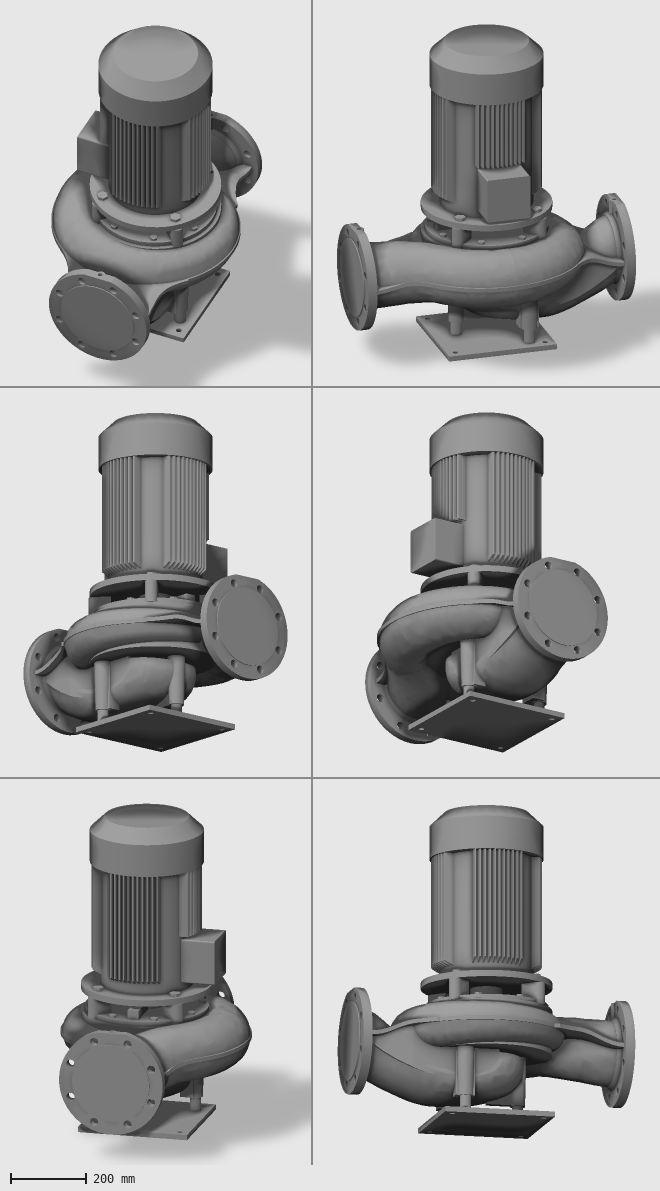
import cadquery as cq
import math


base_thickness = 14
foot_bottom = 53
port_z = 210
volute_z = 244
cover_bottom = 309
cover_top = 322
motor_bottom = 368
total_height = 845

base_size = 300
base_hole_pitch = 250
base_hole_diameter = 15
rod_radius = 15
foot_places = [(-111, -85), (111, -85), (0, 85)]

port_face_y = 375
raised_face_height = 3
raised_face_radius = 106
flange_thickness = 25
flange_radius = 142.5
flange_flat_height = 137
flange_bolt_circle_radius = 120
flange_bolt_hole_diameter = 22
flange_bolt_count = 8
flange_back_y = port_face_y - raised_face_height - flange_thickness
pipe_radius = 90
neck_collar_length = 12
neck_collar_flare = 8
gauge_boss_radius = 12
gauge_boss_length = 70
gauge_hole_radius = 6
gauge_hole_depth = 12
gauge_inset = 20

tongue_angle = 90
volute_sweep = 316
growing_sweep = 270
growing_sections = 7
tongue_tube_radius = 41
full_tube_radius = 77
tongue_centre_radius = 163.5
outlet_centre_radius = 210.5
hub_radius = 175
hub_bottom = 185
rim_projection = 3.3
rim_points = 9

rim_thickness = 11
rim_drop_start = 215
neck_half_width = 124

elbow_half_width = 106
elbow_wall_half_width = 105
elbow_wall_port_half_width = 92
elbow_wall_taper_y = -226

foot_bottom_radius = 20
foot_top_radius = 24
foot_top = 205
side_web_end = 76
side_web_width = 52
rear_web_width = 20
foot_web_bottom = 55
foot_web_top = 175

cover_radius = 165
shaft_housing_radius = 43.5
post_count = 4
post_width = 33
post_inner_radius = 118
post_end_radius = 162
cover_screw_circle_radius = 149
cover_screw_count = 8
cover_screw_across_flats = 18
cover_screw_height = 7
vent_block_width = 30
vent_block_y = (42, 144)
vent_block_height = 24

motor_flange_radius = 175
motor_flange_thickness = 17
motor_radius = 125
motor_bolt_circle_radius = 150
motor_bolt_across_flats = 26
motor_bolt_height = 8
cowl_bottom = 720
cowl_radius = 152
cowl_top_radius = 113
cowl_cone_height = 37
fin_count = 11
fin_pitch = 12.8
fin_thickness = 4
fin_tip_radius = 147
fin_bottom = 415
fin_chamfer_height = 13
fin_bottom_above_box = 537

box_size = 120
box_bottom = 407
box_outer_x = -201.5
box_seat_x = -127
box_edge_radius = 4


def hex_prism(across_flats, height, x, y, z):
    corner_diameter = across_flats / math.cos(math.pi / 6)
    return cq.Workplane("XY", origin=(x, y, z)).polygon(6, corner_diameter).extrude(height)


def cylinder_z(radius, bottom, top, x=0, y=0):
    return cq.Workplane("XY", origin=(x, y, bottom)).circle(radius).extrude(top - bottom)


def polar(radius, degrees):
    angle = math.radians(degrees)
    return radius * math.cos(angle), radius * math.sin(angle)


def make_base_stand():
    plate = cq.Workplane("XY").box(base_size, base_size, base_thickness, centered=(True, True, False))
    holes = (
        cq.Workplane("XY")
        .rect(base_hole_pitch, base_hole_pitch, forConstruction=True)
        .vertices()
        .circle(base_hole_diameter / 2)
        .extrude(base_thickness)
    )
    stand = plate.cut(holes)
    for x, y in foot_places:
        stand = stand.union(cylinder_z(rod_radius, base_thickness, foot_bottom, x, y))
    return stand


def volute_tube_radius(turned):
    """Tube radius after turning this many degrees from the tongue."""
    growth = min(turned / growing_sweep, 1)
    return tongue_tube_radius + (full_tube_radius - tongue_tube_radius) * growth


def volute_centre_radius(turned):
    """Distance from the shaft axis to the tube centre line."""
    return tongue_centre_radius + (outlet_centre_radius - tongue_centre_radius) * turned / volute_sweep


def round_section(x, y, z, radius, direction):
    plane = cq.Plane(origin=(x, y, z), xDir=(0, 0, 1), normal=direction)
    return cq.Workplane(plane).circle(radius).wire().val()


def volute_section(turned):
    angle = tongue_angle - turned
    x, y = polar(volute_centre_radius(turned), angle)
    heading_x, heading_y = polar(1, angle - 90)
    return round_section(x, y, volute_z, volute_tube_radius(turned), (heading_x, heading_y, 0))


def loft(sections):
    return cq.Workplane(cq.Solid.makeLoft(sections))


def make_volute():
    """Spiral tube that leaves the casing through an S-bend to the discharge port."""
    growing_step = growing_sweep / (growing_sections - 1)
    growing = loft([volute_section(growing_step * i) for i in range(growing_sections)])
    bend_middle = (growing_sweep + volute_sweep) / 2
    bend = loft([volute_section(turned) for turned in (growing_sweep, bend_middle, volute_sweep)])
    outlet = loft(
        [
            volute_section(volute_sweep),
            round_section(-56, 246, 230, 84, (0.6, 0.8, -0.2)),
            round_section(-7, 325, port_z + 2, pipe_radius - 1, (0.15, 1, 0)),
            round_section(0, flange_back_y, port_z, pipe_radius, (0, 1, 0)),
        ]
    )
    return growing.union(bend, clean=False).union(outlet, clean=False)


def make_suction_elbow():
    """Oval duct from the suction port, under the volute and up into the casing centre."""
    spans = [
        ((-flange_back_y, port_z - pipe_radius), (-flange_back_y, port_z + pipe_radius), pipe_radius),
        ((-265, 78), (-270, 250), 96),
        ((-180, 50), (-185, 198), elbow_half_width),
        ((-80, 48), (-80, 168), elbow_half_width),
        ((36, 72), (-62, 170), elbow_half_width),
        ((95, 172), (-55, 182), elbow_half_width),
    ]
    sections = []
    for (low_y, low_z), (high_y, high_z), half_width in spans:
        rise_y = high_y - low_y
        rise_z = high_z - low_z
        middle = (0, (low_y + high_y) / 2, (low_z + high_z) / 2)
        plane = cq.Plane(origin=middle, xDir=(0, rise_y, rise_z), normal=(0, rise_z, -rise_y))
        half_height = math.hypot(rise_y, rise_z) / 2
        sections.append(cq.Workplane(plane).ellipse(half_height, half_width).wire().val())
    return loft(sections)


def make_elbow_walls():
    """Flat-sided block that joins the elbow to the underside of the volute."""
    rear_y = 10
    side_profile = (
        cq.Workplane("YZ")
        .moveTo(-flange_back_y, port_z - 15)
        .spline([(elbow_wall_taper_y, 125), (-85, 102), (-21, 120), (rear_y, 155)], includeCurrent=True)
        .lineTo(rear_y, volute_z - 30)
        .lineTo(-rim_drop_start, volute_z)
        .lineTo(-flange_back_y, port_z)
        .close()
        .extrude(elbow_half_width, both=True)
    )
    plan = (
        cq.Workplane("XY")
        .moveTo(-elbow_wall_port_half_width, -flange_back_y)
        .lineTo(-elbow_wall_half_width, elbow_wall_taper_y)
        .lineTo(-elbow_wall_half_width, rear_y)
        .lineTo(elbow_wall_half_width, rear_y)
        .lineTo(elbow_wall_half_width, elbow_wall_taper_y)
        .lineTo(elbow_wall_port_half_width, -flange_back_y)
        .close()
        .extrude(volute_z)
    )
    return side_profile.intersect(plan)


def make_rim():
    """Raised parting rim round the volute, with the webs beside both necks."""
    turns = [volute_sweep * i / (rim_points - 1) for i in range(rim_points)]
    spiral_points = []
    for turned in turns:
        radius = volute_centre_radius(turned) + volute_tube_radius(turned) + rim_projection
        spiral_points.append(polar(radius, tongue_angle - turned))
    spiral = cq.Workplane("XY").spline(spiral_points).close().extrude(total_height)

    necks = (
        cq.Workplane("XY")
        .moveTo(neck_half_width, flange_back_y)
        .spline([(130, 237), (167, 160)], tangents=[(0, -1), (0.6, -0.8)], includeCurrent=True)
        .lineTo(176, -178)
        .spline([(130, -250), (neck_half_width, -flange_back_y)], tangents=[(-0.7, -0.7), (0, -1)],
                includeCurrent=True)
        .lineTo(-neck_half_width, -flange_back_y)
        .spline([(-138, -257), (-195, -187)], tangents=[(0, 1), (-0.7, 0.7)], includeCurrent=True)
        .lineTo(-205, 208)
        .spline([(-142, 275), (-neck_half_width, flange_back_y)], tangents=[(0.7, 0.7), (0, 1)],
                includeCurrent=True)
        .close()
        .extrude(total_height)
    )

    top_middle = volute_z + rim_thickness / 2
    top_port = port_z + rim_thickness / 2
    level = (1, 0)
    band = (
        cq.Workplane("YZ")
        .moveTo(-flange_back_y, top_port)
        .spline([(-rim_drop_start, top_middle)], tangents=[level, level], includeCurrent=True)
        .lineTo(rim_drop_start, top_middle)
        .spline([(flange_back_y, top_port)], tangents=[level, level], includeCurrent=True)
        .lineTo(flange_back_y, top_port - rim_thickness)
        .spline([(rim_drop_start, top_middle - rim_thickness)], tangents=[(-1, 0), (-1, 0)],
                includeCurrent=True)
        .lineTo(-rim_drop_start, top_middle - rim_thickness)
        .spline([(-flange_back_y, top_port - rim_thickness)], tangents=[(-1, 0), (-1, 0)],
                includeCurrent=True)
        .close()
        .extrude(base_size, both=True)
    )
    return band.intersect(spiral).union(band.intersect(necks))


def make_port_flange(side):
    """Bolted flange with a raised face and a gauge tapping; side is +1 or -1 along Y."""
    plane = cq.Plane(origin=(0, side * flange_back_y, port_z), xDir=(-side, 0, 0), normal=(0, side, 0))
    flange = cq.Workplane(plane).circle(flange_radius).extrude(flange_thickness)
    trim = (
        cq.Workplane(plane)
        .center(0, flange_flat_height + flange_radius / 2)
        .rect(2 * flange_radius, flange_radius)
        .extrude(flange_thickness)
    )
    flange = flange.cut(trim)
    raised_face = cq.Workplane(plane).circle(raised_face_radius).extrude(flange_thickness + raised_face_height)
    collar = (
        cq.Workplane(plane)
        .circle(pipe_radius + neck_collar_flare)
        .workplane(offset=-neck_collar_length)
        .circle(pipe_radius)
        .loft()
    )
    flat_z = port_z + flange_flat_height
    gauge_y = side * (flange_back_y + gauge_boss_radius / 2)
    gauge_boss = cylinder_z(gauge_boss_radius, flat_z - gauge_boss_length, flat_z, 0, gauge_y)
    flange = flange.union(raised_face).union(collar).union(gauge_boss)

    bolt_holes = (
        cq.Workplane(plane)
        .polarArray(flange_bolt_circle_radius, 180 / flange_bolt_count, 360, flange_bolt_count)
        .circle(flange_bolt_hole_diameter / 2)
        .extrude(flange_thickness)
    )
    gauge_hole = cylinder_z(
        gauge_hole_radius, flat_z - gauge_hole_depth, flat_z, 0, side * (port_face_y - gauge_inset)
    )
    return flange.cut(bolt_holes).cut(gauge_hole)


def make_foot(x, y):
    """Tapered foot with a web running in toward the elbow."""
    foot = (
        cq.Workplane("XY", origin=(x, y, foot_bottom))
        .circle(foot_bottom_radius)
        .workplane(offset=foot_top - foot_bottom)
        .circle(foot_top_radius)
        .loft()
    )
    web_height = foot_web_top - foot_web_bottom
    if x:
        web = cq.Workplane("XY").box(abs(x) - side_web_end, side_web_width, web_height)
        web = web.translate((math.copysign((abs(x) + side_web_end) / 2, x), y, 0))
    else:
        web = cq.Workplane("XY").box(rear_web_width, y, web_height)
        web = web.translate((0, y / 2, 0))
    middle_z = (foot_web_top + foot_web_bottom) / 2
    return foot.union(web.translate((0, 0, middle_z)))


def make_casing():
    upper = make_volute().union(cylinder_z(hub_radius, hub_bottom, cover_bottom), clean=False)
    upper = upper.cut(cylinder_z(cover_radius, cover_bottom, motor_bottom), clean=False)
    upper = upper.cut(make_posts(), clean=False)
    upper = upper.union(make_port_flange(1), clean=False)

    lower = make_suction_elbow().union(make_elbow_walls(), clean=False)
    for x, y in foot_places:
        lower = lower.union(make_foot(x, y), clean=False)
    lower = lower.union(make_port_flange(-1), clean=False)

    return upper.union(lower, clean=False).union(make_rim(), clean=False).clean()


def make_posts():
    """Radial posts with rounded outer ends."""
    half = post_width / 2
    post = (
        cq.Workplane("XY", origin=(0, 0, cover_bottom))
        .moveTo(post_inner_radius, -half)
        .lineTo(post_end_radius, -half)
        .threePointArc((post_end_radius + half, 0), (post_end_radius, half))
        .lineTo(post_inner_radius, half)
        .close()
        .extrude(motor_bottom - cover_bottom)
    )
    posts = cq.Workplane("XY")
    for i in range(post_count):
        posts = posts.add(post.rotate((0, 0, 0), (0, 0, 1), 360 / post_count * (i + 0.5)))
    return posts.combine()


def make_lantern():
    lantern = cylinder_z(cover_radius, cover_bottom, cover_top)
    lantern = lantern.union(cylinder_z(shaft_housing_radius, cover_top, motor_bottom))
    lantern = lantern.union(make_posts())
    screw_step = 360 / cover_screw_count
    for i in range(cover_screw_count):
        x, y = polar(cover_screw_circle_radius, screw_step * (i + 0.5))
        screw = hex_prism(cover_screw_across_flats, cover_screw_height, x, y, cover_top)
        lantern = lantern.union(screw)
    vent_length = vent_block_y[1] - vent_block_y[0]
    vent = cq.Workplane("XY").box(vent_block_width, vent_length, vent_block_height, centered=(True, False, False))
    return lantern.union(vent.translate((0, vent_block_y[0], cover_top)))


def make_fin_bank(angle, bottom):
    """Parallel fins pointing outward at this angle, still untrimmed at their tips."""
    bank = cq.Workplane("XY")
    for i in range(fin_count):
        offset = (i - (fin_count - 1) / 2) * fin_pitch
        fin = cq.Workplane("XY").box(
            fin_tip_radius, fin_thickness, cowl_bottom - bottom, centered=(False, True, False)
        )
        bank = bank.add(fin.translate((0, offset, bottom)))
    return bank.combine().rotate((0, 0, 0), (0, 0, 1), angle)


def make_fins():
    tip_envelope = (
        cq.Workplane("XZ")
        .moveTo(0, fin_bottom)
        .lineTo(motor_radius, fin_bottom)
        .lineTo(fin_tip_radius, fin_bottom + fin_chamfer_height)
        .lineTo(fin_tip_radius, cowl_bottom)
        .lineTo(0, cowl_bottom)
        .close()
        .revolve(360, (0, 0, 0), (0, 1, 0))
    )
    banks = []
    for angle in (-90, 0, 90, 180):
        bottom = fin_bottom_above_box if angle == 180 else fin_bottom
        banks.append(make_fin_bank(angle, bottom).intersect(tip_envelope))
    return banks


def make_box_block(x_outer, x_inner):
    """Block of the terminal box section between two X positions."""
    return (
        cq.Workplane("XY")
        .box(x_inner - x_outer, box_size, box_size, centered=(False, True, False))
        .edges("|X")
        .fillet(box_edge_radius)
        .translate((x_outer, 0, box_bottom))
    )


def make_motor():
    shoulder_z = total_height - cowl_cone_height
    flange_top = motor_bottom + motor_flange_thickness
    motor = (
        cq.Workplane("XZ")
        .moveTo(0, motor_bottom)
        .lineTo(motor_flange_radius, motor_bottom)
        .lineTo(motor_flange_radius, flange_top)
        .lineTo(motor_radius, flange_top)
        .lineTo(motor_radius, cowl_bottom)
        .lineTo(cowl_radius, cowl_bottom)
        .lineTo(cowl_radius, shoulder_z)
        .lineTo(cowl_top_radius, total_height)
        .lineTo(0, total_height)
        .close()
        .revolve(360, (0, 0, 0), (0, 1, 0))
    )
    for bank in make_fins():
        motor = motor.union(bank)
    motor = motor.union(make_box_block(box_seat_x, 0))
    for i in range(4):
        x, y = polar(motor_bolt_circle_radius, 45 + 90 * i)
        bolt = hex_prism(motor_bolt_across_flats, motor_bolt_height, x, y, flange_top)
        motor = motor.union(bolt)
    return motor


base_stand = make_base_stand()
lantern = make_lantern()
casing = make_casing()
motor = make_motor()
terminal_box = make_box_block(box_outer_x, box_seat_x)

result = cq.Compound.makeCompound(
    [base_stand.val(), casing.val(), lantern.val(), motor.val(), terminal_box.val()]
)